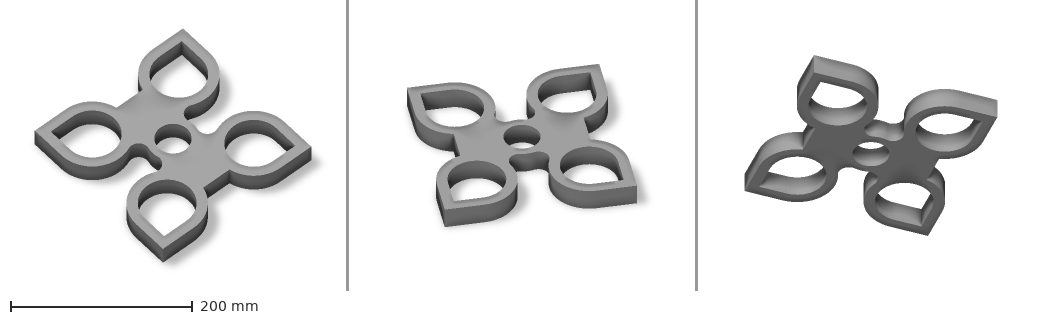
import cadquery as cq
import math

side = 215.5
thickness = 25.0
petal_radius = 44.8
petal_wall = 12.5
waist_half_width = 72.9
hub_radius = 30.0
hub_hole_diameter = 41.0
fillet_radius = 12.0

half_side = side / 2
petal_center = half_side - petal_radius
opening_radius = petal_radius - petal_wall
opening_corner = half_side - petal_wall

hub_reach = hub_radius + fillet_radius
petal_reach = petal_radius + fillet_radius
petal_distance = math.hypot(petal_center, petal_center)
along = (hub_reach**2 - petal_reach**2 + petal_distance**2) / (2 * petal_distance)
across = math.sqrt(hub_reach**2 - along**2)
fillet_x = (along - across) / math.sqrt(2)
fillet_y = (along + across) / math.sqrt(2)


def point_on_circle(x, y, radius, angle):
    return (x + radius * math.cos(angle), y + radius * math.sin(angle))


def quarter_plate():
    """Solid quarter in +X +Y: half the waist, one petal, a fillet and a hub arc."""
    waist_angle = -math.acos((waist_half_width - petal_center) / petal_radius)
    waist_top = point_on_circle(petal_center, petal_center, petal_radius, waist_angle)
    lower_mid = point_on_circle(petal_center, petal_center, petal_radius, waist_angle / 2)

    neck_angle = math.atan2(fillet_y - petal_center, fillet_x - petal_center) + 2 * math.pi
    neck = point_on_circle(petal_center, petal_center, petal_radius, neck_angle)
    upper_mid_angle = (math.pi / 2 + neck_angle) / 2
    upper_mid = point_on_circle(petal_center, petal_center, petal_radius, upper_mid_angle)

    hub_angle = math.atan2(fillet_y, fillet_x)
    hub_tangent = point_on_circle(0, 0, hub_radius, hub_angle)
    hub_mid = point_on_circle(0, 0, hub_radius, (hub_angle + math.pi / 2) / 2)
    fillet_mid_angle = (neck_angle - math.pi + hub_angle - math.pi) / 2
    fillet_mid = point_on_circle(fillet_x, fillet_y, fillet_radius, fillet_mid_angle)

    return (
        cq.Workplane("XY")
        .lineTo(waist_half_width, 0)
        .lineTo(*waist_top)
        .threePointArc(lower_mid, (half_side, petal_center))
        .lineTo(half_side, half_side)
        .lineTo(petal_center, half_side)
        .threePointArc(upper_mid, neck)
        .threePointArc(fillet_mid, hub_tangent)
        .threePointArc(hub_mid, (0, hub_radius))
        .close()
        .extrude(thickness)
    )


def petal_opening():
    """Round opening with one square corner, pointing at the petal's outer corner."""
    diagonal = opening_radius / math.sqrt(2)
    return (
        cq.Workplane("XY")
        .moveTo(opening_corner, petal_center)
        .lineTo(opening_corner, opening_corner)
        .lineTo(petal_center, opening_corner)
        .threePointArc(
            (petal_center - diagonal, petal_center - diagonal),
            (opening_corner, petal_center),
        )
        .close()
        .extrude(thickness)
    )


quarter = quarter_plate().cut(petal_opening())
half = quarter.union(quarter.mirror("YZ"))
plate = half.union(half.mirror("XZ")).clean()
hub_hole = cq.Workplane("XY").circle(hub_hole_diameter / 2).extrude(thickness)
result = plate.cut(hub_hole)